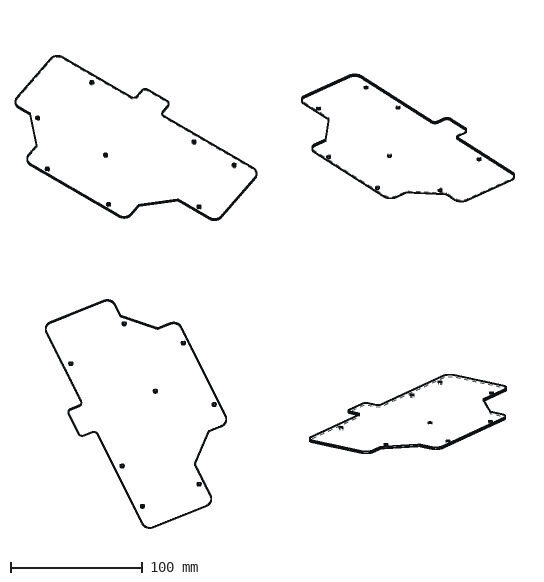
import cadquery as cq

LENGTH = 190.5
DEPTH = 108.0
THICKNESS = 1.58
CORNER_RADIUS = 6.3

BODY_BOTTOM = 38.1
BODY_TOP = 95.0

FRONT_LEFT = 38.1
FRONT_RIGHT = 133.4
FLANK_RUN = 21.3
FLANK_BOTTOM = BODY_BOTTOM - FLANK_RUN

TAB_WIDTH = 24.2
TAB_CENTER = (FRONT_LEFT + FRONT_RIGHT) / 2
TAB_LEFT = TAB_CENTER - TAB_WIDTH / 2
TAB_RIGHT = TAB_CENTER + TAB_WIDTH / 2
TAB_RADIUS = 3.0

HOLE_DIAMETER = 2.7
REAR_HOLE_Y = 89.0
FRONT_HOLE_Y = 3.8
HOLE_CENTERS = [
    (FRONT_LEFT, REAR_HOLE_Y),
    (FRONT_RIGHT, REAR_HOLE_Y),
    (170.9, REAR_HOLE_Y),
    (171.5, 42.0),
    (TAB_CENTER, 40.0),
    (23.8, 38.1),
    (57.2, FRONT_HOLE_Y),
    (114.3, FRONT_HOLE_Y),
]


def make_blank():
    """Sharp-cornered plate, listed counter-clockwise from the front left corner."""
    outline = [
        (FRONT_LEFT, 0),
        (FRONT_RIGHT, 0),
        (FRONT_RIGHT, FLANK_BOTTOM),
        (FRONT_RIGHT + FLANK_RUN, BODY_BOTTOM),
        (LENGTH, BODY_BOTTOM),
        (LENGTH, BODY_TOP),
        (TAB_RIGHT, BODY_TOP),
        (TAB_RIGHT, DEPTH),
        (TAB_LEFT, DEPTH),
        (TAB_LEFT, BODY_TOP),
        (0, BODY_TOP),
        (0, BODY_BOTTOM),
        (FRONT_LEFT - FLANK_RUN, BODY_BOTTOM),
        (FRONT_LEFT, FLANK_BOTTOM),
    ]
    return cq.Workplane("XY").polyline(outline).close().extrude(THICKNESS)


def round_corners(plate, left, right, y, radius):
    """Fillet the pair of vertical edges at x = left and x = right on the line y."""
    for x in (left, right):
        corner = cq.selectors.NearestToPointSelector((x, y, THICKNESS / 2))
        plate = plate.edges("|Z").edges(corner).fillet(radius)
    return plate


def drill_holes(plate):
    holes = (
        cq.Workplane("XY")
        .pushPoints(HOLE_CENTERS)
        .circle(HOLE_DIAMETER / 2)
        .extrude(THICKNESS)
    )
    return plate.cut(holes)


plate = make_blank()
plate = round_corners(plate, 0, LENGTH, BODY_BOTTOM, CORNER_RADIUS)
plate = round_corners(plate, 0, LENGTH, BODY_TOP, CORNER_RADIUS)
plate = round_corners(plate, FRONT_LEFT, FRONT_RIGHT, 0, CORNER_RADIUS)
plate = round_corners(plate, TAB_LEFT, TAB_RIGHT, DEPTH, TAB_RADIUS)
plate = round_corners(plate, TAB_LEFT, TAB_RIGHT, BODY_TOP, TAB_RADIUS)

result = drill_holes(plate)